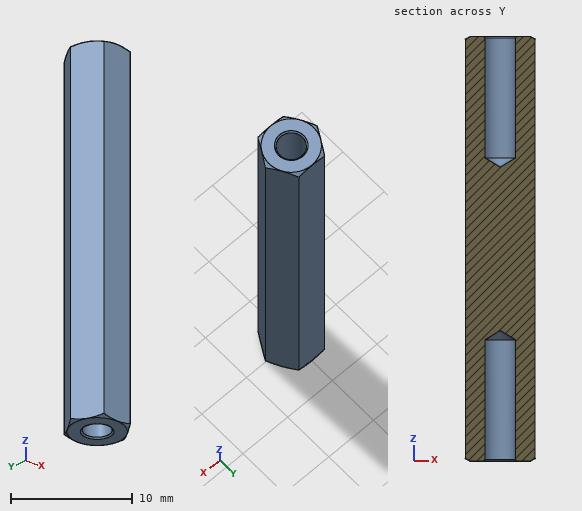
import cadquery as cq
import math

length = 35.0
across_flats = 5.0
across_corners = across_flats / math.cos(math.radians(30))

end_face_diameter = 4.97
chamfer_angle = 30.0

hole_diameter = 2.5
mouth_diameter = 2.75
hole_depth = 10.0
drill_point_angle = 118.0


def make_hexagon_bar():
    bar = cq.Workplane("XY").polygon(6, across_corners).extrude(length)
    return bar.translate((0, 0, -length / 2))


def make_corner_envelope():
    """Round body with conical ends that trims the hexagon corners."""
    corner_radius = across_corners / 2
    face_radius = end_face_diameter / 2
    chamfer_height = (corner_radius - face_radius) * math.tan(math.radians(chamfer_angle))
    half_length = length / 2
    shoulder = half_length - chamfer_height
    profile = [
        (0, -half_length),
        (face_radius, -half_length),
        (corner_radius, -shoulder),
        (corner_radius, shoulder),
        (face_radius, half_length),
        (0, half_length),
    ]
    return cq.Workplane("XZ").polyline(profile).close().revolve(360, (0, 0), (0, 1))


def make_top_hole():
    radius = hole_diameter / 2
    mouth_radius = mouth_diameter / 2
    mouth_depth = mouth_radius - radius
    point_height = radius / math.tan(math.radians(drill_point_angle / 2))
    top = length / 2
    profile = [
        (0, top),
        (mouth_radius, top),
        (radius, top - mouth_depth),
        (radius, top - hole_depth),
        (0, top - hole_depth - point_height),
    ]
    return cq.Workplane("XZ").polyline(profile).close().revolve(360, (0, 0), (0, 1))


top_hole = make_top_hole()
bottom_hole = top_hole.mirror("XY")
result = make_hexagon_bar().intersect(make_corner_envelope()).cut(top_hole).cut(bottom_hole)